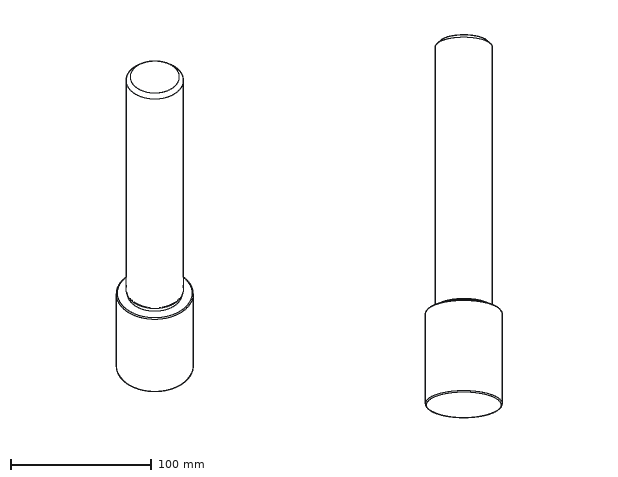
import cadquery as cq

total_height = 275.0
head_diameter = 55.0
head_height = 70.0
shank_diameter = 41.0

head_chamfer = 0.8
shank_chamfer = 3.0

groove_depth = 0.8
groove_width = 3.3

head_radius = head_diameter / 2
shank_radius = shank_diameter / 2
groove_radius = shank_radius - groove_depth
groove_top = head_height + groove_width

profile = (
    cq.Workplane("XZ")
    .lineTo(head_radius - head_chamfer, 0)
    .lineTo(head_radius, head_chamfer)
    .lineTo(head_radius, head_height - head_chamfer)
    .lineTo(head_radius - head_chamfer, head_height)
    .lineTo(groove_radius, head_height)
    .lineTo(groove_radius, groove_top)
    .lineTo(shank_radius, groove_top)
    .lineTo(shank_radius, total_height - shank_chamfer)
    .lineTo(shank_radius - shank_chamfer, total_height)
    .lineTo(0, total_height)
    .close()
)

result = profile.revolve(360, (0, 0, 0), (0, 1, 0))